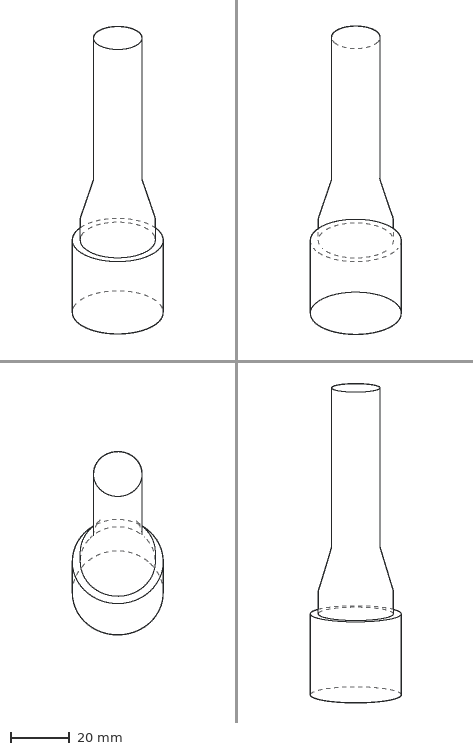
import cadquery as cq

total_height = 106.0
base_diameter = 31.0
base_height = 28.0
collar_diameter = 25.5
collar_height = 8.0
cone_height = 15.0
shank_diameter = 16.5

collar_top = base_height + collar_height
cone_top = collar_top + cone_height

base_radius = base_diameter / 2
collar_radius = collar_diameter / 2
shank_radius = shank_diameter / 2

profile = [
    (0, 0),
    (base_radius, 0),
    (base_radius, base_height),
    (collar_radius, base_height),
    (collar_radius, collar_top),
    (shank_radius, cone_top),
    (shank_radius, total_height),
    (0, total_height),
]

result = cq.Workplane("XZ").polyline(profile).close().revolve(360, (0, 0, 0), (0, 1, 0))